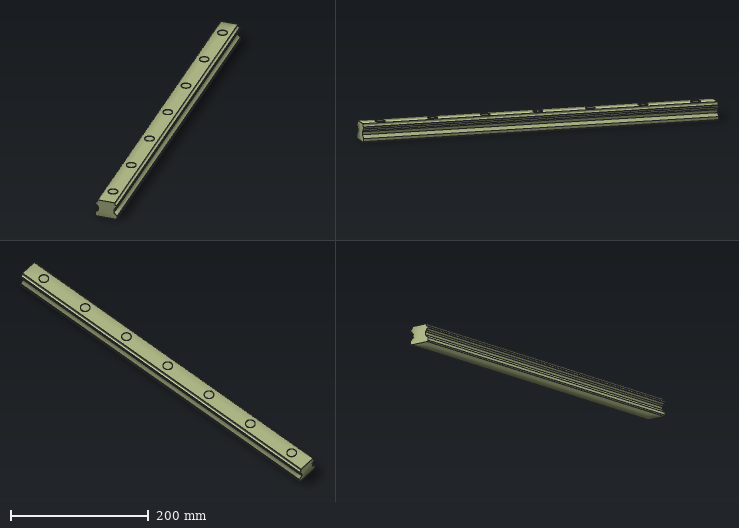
import cadquery as cq

length = 540.0
width = 34.0
height = 27.5

groove_radius = 2.5
lip_chamfer = 0.5

half_width = width / 2
half_lip_edge = half_width - lip_chamfer
half_top = 13.5
half_lower_groove = 14.0
half_web = 12.0
foot_chamfer_width = 1.5
half_foot = half_width - foot_chamfer_width

foot_chamfer_top = 1.5
foot_side_top = 6.0
web_bottom = 11.0
web_top = 15.0
lower_groove_bottom = 17.5
lip_bottom = 20.0
lip_top = 23.0
upper_groove_top = 25.5

cap_count = 7
cap_pitch = 80.0
cap_diameter = 14.0
cap_recess = 0.5


def rail_profile():
    """Cross-section in the XZ plane, symmetric about X = 0."""
    right_half = (
        cq.Workplane("XZ")
        .lineTo(half_foot, 0)
        .lineTo(half_width, foot_chamfer_top)
        .lineTo(half_width, foot_side_top)
        .lineTo(half_web, web_bottom)
        .lineTo(half_web, web_top)
        .lineTo(half_lower_groove, lower_groove_bottom)
        .radiusArc((half_lip_edge, lip_bottom), groove_radius)
        .lineTo(half_width, lip_bottom + lip_chamfer)
        .lineTo(half_width, lip_top - lip_chamfer)
        .lineTo(half_lip_edge, lip_top)
        .radiusArc((half_top, upper_groove_top), groove_radius)
        .lineTo(half_top, height)
        .lineTo(0, height)
    )
    return right_half.mirrorY()


def cap_recesses():
    """Row of shallow round recesses, centred along the rail."""
    return (
        cq.Workplane("XY", origin=(0, 0, height - cap_recess))
        .rarray(cap_pitch, cap_pitch, 1, cap_count)
        .circle(cap_diameter / 2)
        .extrude(cap_recess)
    )


rail = rail_profile().extrude(length / 2, both=True)
result = rail.cut(cap_recesses())